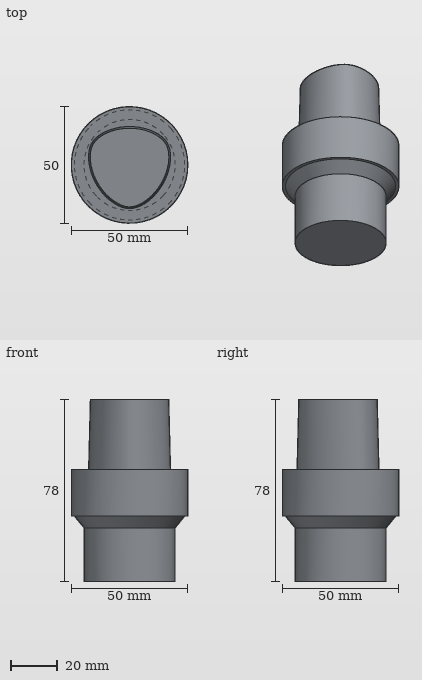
import cadquery as cq
import math

SHANK_DIAMETER = 39.0
SHANK_HEIGHT = 23.0
CONE_HEIGHT = 5.0
CONE_TOP_DIAMETER = 47.2
FLANGE_DIAMETER = 49.98
FLANGE_HEIGHT = 20.0

TAPER_HEIGHT = 30.0
TAPER_BASE_WIDTH = 35.13
TAPER_RATIO = 1 / 20
LOBE_ECCENTRICITY = 1.12
LOBE_COUNT = 3
LOBE_DIRECTION = -math.pi / 2
POINTS_PER_LOBE = 12

CONE_TOP_Z = SHANK_HEIGHT + CONE_HEIGHT
FLANGE_TOP_Z = CONE_TOP_Z + FLANGE_HEIGHT


def make_body():
    """Revolve the half profile of shank, cone and flange about Z."""
    shank_radius = SHANK_DIAMETER / 2
    flange_radius = FLANGE_DIAMETER / 2
    half_profile = [
        (0, 0),
        (shank_radius, 0),
        (shank_radius, SHANK_HEIGHT),
        (CONE_TOP_DIAMETER / 2, CONE_TOP_Z),
        (flange_radius, CONE_TOP_Z),
        (flange_radius, FLANGE_TOP_Z),
        (0, FLANGE_TOP_Z),
    ]
    return cq.Workplane("XZ").polyline(half_profile).close().revolve()


def lobed_point(width, angle):
    """Point of a constant-width curve whose normal is turned by angle from the lobe direction."""
    support = width / 2 + LOBE_ECCENTRICITY * math.cos(LOBE_COUNT * angle)
    slope = -LOBE_COUNT * LOBE_ECCENTRICITY * math.sin(LOBE_COUNT * angle)
    normal = LOBE_DIRECTION + angle
    x = support * math.cos(normal) - slope * math.sin(normal)
    y = support * math.sin(normal) + slope * math.cos(normal)
    return cq.Vector(x, y, 0)


def lobed_wire(width, z):
    """Closed smooth outline of the polygon taper at height z."""
    count = LOBE_COUNT * POINTS_PER_LOBE
    points = [lobed_point(width, 2 * math.pi * i / count) + cq.Vector(0, 0, z) for i in range(count)]
    return cq.Wire.assembleEdges([cq.Edge.makeSpline(points, periodic=True)])


def make_taper():
    """Loft the three-lobed taper from the flange face to its narrower top."""
    top_width = TAPER_BASE_WIDTH - TAPER_RATIO * TAPER_HEIGHT
    base = lobed_wire(TAPER_BASE_WIDTH, FLANGE_TOP_Z)
    top = lobed_wire(top_width, FLANGE_TOP_Z + TAPER_HEIGHT)
    return cq.Workplane(obj=cq.Solid.makeLoft([base, top], True))


result = make_body().union(make_taper())